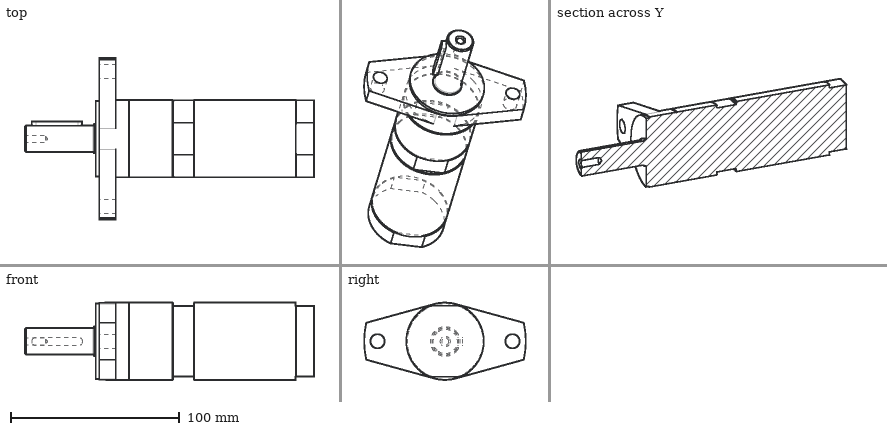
import cadquery as cq
import math

total_length = 171.5
collar_start = 41.0
boss_start = 42.0
plate_start = 44.0
plate_thickness = 10.0
body_start = 61.5
front_flats_start = 88.0
front_flats_length = 12.0
rear_flats_start = 160.5

body_dia = 46.0
boss_dia = 45.0
collar_dia = 17.5
shaft_dia = 16.0
shaft_chamfer = 0.8
collar_fillet = 0.75
joint_chamfer = 0.5
flats_width = 42.0

plate_end_radius = 48.0
plate_end_width = 22.0
mount_hole_dia = 8.3
mount_hole_spacing = 80.0

centre_hole_dia = 4.13
centre_hole_depth = 12.0
centre_sink_dia = 6.0
drill_point_angle = 118.0

key_width = 5.0
key_length = 30.0
key_start = 4.0
key_top = 10.3
key_bottom = 5.0

x_min = -total_length / 2
body_radius = body_dia / 2


def disc(start, end, diameter):
    """Cylinder on the motor axis between two distances from the shaft end."""
    return cq.Workplane("YZ", origin=(x_min + start, 0, 0)).circle(diameter / 2).extrude(end - start)


def make_shaft():
    shaft = disc(0, boss_start, shaft_dia).faces("<X").chamfer(shaft_chamfer)
    collar = disc(collar_start, boss_start, collar_dia)
    shaft_radius = shaft_dia / 2
    fillet_ring = (
        cq.Workplane("XY")
        .moveTo(x_min + collar_start - collar_fillet, shaft_radius)
        .lineTo(x_min + collar_start, shaft_radius)
        .lineTo(x_min + collar_start, shaft_radius + collar_fillet)
        .radiusArc((x_min + collar_start - collar_fillet, shaft_radius), collar_fillet)
        .close()
        .revolve(360, (0, 0, 0), (1, 0, 0))
    )
    return shaft.union(collar).union(fillet_ring)


def make_key():
    return (
        cq.Workplane("XZ", origin=(x_min + key_start + key_length / 2, key_bottom, 0))
        .slot2D(key_length, key_width)
        .extrude(key_bottom - key_top)
    )


def make_plate():
    """Two-hole plate whose straight sides run tangent to the body."""
    corner_z = plate_end_width / 2
    corner_y = math.sqrt(plate_end_radius**2 - corner_z**2)
    tangent_angle = math.asin(corner_z / plate_end_radius) + math.acos(body_radius / plate_end_radius)
    tangent_y = body_radius * math.cos(tangent_angle)
    tangent_z = body_radius * math.sin(tangent_angle)
    return (
        cq.Workplane("YZ", origin=(x_min + plate_start, 0, 0))
        .moveTo(corner_y, -corner_z)
        .threePointArc((plate_end_radius, 0), (corner_y, corner_z))
        .lineTo(tangent_y, tangent_z)
        .threePointArc((0, body_radius), (-tangent_y, tangent_z))
        .lineTo(-corner_y, corner_z)
        .threePointArc((-plate_end_radius, 0), (-corner_y, -corner_z))
        .lineTo(-tangent_y, -tangent_z)
        .threePointArc((0, -body_radius), (tangent_y, -tangent_z))
        .close()
        .pushPoints([(-mount_hole_spacing / 2, 0), (mount_hole_spacing / 2, 0)])
        .circle(mount_hole_dia / 2)
        .extrude(plate_thickness)
    )


def cut_flats(section):
    """Give a round section parallel flats on its top and bottom."""
    slab = cq.Workplane("XY").box(total_length, body_dia, flats_width)
    return section.intersect(slab)


def make_body():
    front_flats_end = front_flats_start + front_flats_length
    front = disc(body_start, front_flats_start, body_dia).edges().chamfer(joint_chamfer)
    middle = cut_flats(disc(front_flats_start, front_flats_end, body_dia))
    rear = disc(front_flats_end, rear_flats_start, body_dia).faces("<X").chamfer(joint_chamfer)
    cap = cut_flats(disc(rear_flats_start, total_length, body_dia).faces("<X").chamfer(joint_chamfer))
    return (
        disc(boss_start, plate_start, boss_dia)
        .union(disc(plate_start, body_start, body_dia))
        .union(front)
        .union(middle)
        .union(rear)
        .union(cap)
    )


def make_centre_hole():
    """Countersunk blind hole with a drill-point bottom."""
    hole_radius = centre_hole_dia / 2
    sink_radius = centre_sink_dia / 2
    sink_depth = sink_radius - hole_radius
    point_depth = hole_radius / math.tan(math.radians(drill_point_angle / 2))
    return (
        cq.Workplane("XY")
        .moveTo(x_min, 0)
        .lineTo(x_min, sink_radius)
        .lineTo(x_min + sink_depth, hole_radius)
        .lineTo(x_min + centre_hole_depth, hole_radius)
        .lineTo(x_min + centre_hole_depth + point_depth, 0)
        .close()
        .revolve(360, (0, 0, 0), (1, 0, 0))
    )


result = make_body().union(make_plate()).union(make_shaft()).union(make_key()).cut(make_centre_hole())